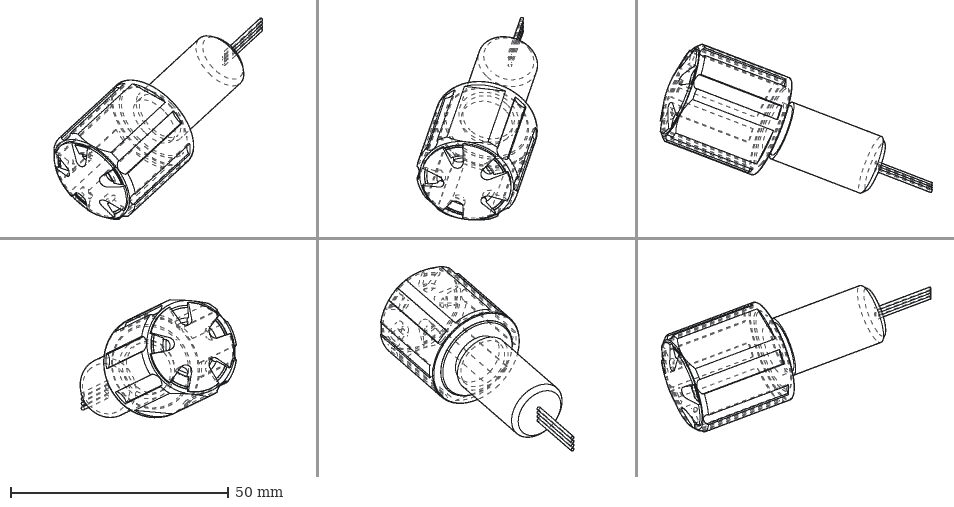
import cadquery as cq
import math

total_length = 65.1
cap_edge = 1.5
knob_front = 2.0
collar_front = 23.4
collar_back = 24.95
lip_back = 25.3
body_front = 27.55
body_back = 51.05

knob_diameter = 24.0
knob_radius = knob_diameter / 2
knob_face_radius = 11.0
cap_rim_radius = 10.5
cap_face_radius = 5.0
lip_radius = 9.9
neck_radius = 6.05
body_diameter = 14.0
body_radius = body_diameter / 2

knob_chamfer = knob_radius - knob_face_radius
collar_chamfer = 0.2
lip_chamfer = 0.3
body_chamfer = 1.1

flat_height = knob_face_radius
groove_angles = (0, 45, 135, 180, 225, 315)
groove_floor_offset = 11.05
groove_shoulder_offset = 11.5
groove_shoulder_half_width = 1.7
groove_top_offset = 12.4
groove_top_half_width = 1.9

window_count = 5
window_half_angle = 13.5
window_end_center = 6.5
window_reach = 13.0

gap_outer_radius = 9.9
gap_inner_radius = 9.4
gap_depth = 0.2
channel_outer_radius = 6.95
channel_inner_radius = 6.05
recess_depth = 0.45

wire_count = 4
wire_diameter = 0.8
wire_pitch = 1.1
wire_row_x = 0.25
wire_row_z = -0.2
wire_embed = 1.3


def revolve_about_y(profile):
    """Turn a closed profile, drawn as (Y, Z) in the YZ plane, about the Y axis."""
    return profile.close().revolve(360, (0, 0, 0), (1, 0, 0))


def make_turned_part():
    profile = (
        cq.Workplane("YZ")
        .moveTo(0, 0)
        .lineTo(0, cap_face_radius)
        .lineTo(cap_edge, cap_rim_radius)
        .lineTo(knob_front, cap_rim_radius)
        .lineTo(knob_front, knob_face_radius)
        .lineTo(knob_front + knob_chamfer, knob_radius)
        .lineTo(collar_back - collar_chamfer, knob_radius)
        .lineTo(collar_back, knob_radius - collar_chamfer)
        .lineTo(collar_back, lip_radius)
        .lineTo(lip_back - lip_chamfer, lip_radius)
        .lineTo(lip_back, lip_radius - lip_chamfer)
        .lineTo(lip_back, neck_radius)
        .lineTo(body_front, neck_radius)
        .lineTo(body_front, body_radius)
        .lineTo(body_back - body_chamfer, body_radius)
        .lineTo(body_back, body_radius - body_chamfer)
        .lineTo(body_back, 0)
    )
    return revolve_about_y(profile)


def make_grip_flats():
    """Blocks above and below the knob that leave its two flats."""
    width = 2 * knob_radius
    upper = cq.Workplane("XY").box(width, collar_front, width, centered=(True, False, False))
    upper = upper.translate((0, 0, flat_height))
    return upper.union(upper.mirror("XY"))


def make_groove(angle):
    """A finger groove with flared walls and a round floor; angle 0 points along +X."""
    cutter = (
        cq.Workplane("XZ")
        .moveTo(groove_top_offset, groove_top_half_width)
        .lineTo(groove_shoulder_offset, groove_shoulder_half_width)
        .threePointArc((groove_floor_offset, 0), (groove_shoulder_offset, -groove_shoulder_half_width))
        .lineTo(groove_top_offset, -groove_top_half_width)
        .close()
        .extrude(-collar_front)
    )
    return cutter.rotate((0, 0, 0), (0, 1, 0), angle)


def make_window(angle, depth):
    """A wedge aimed at the axis, rounded at its inner end and open outward."""
    half = math.radians(window_half_angle)
    end_radius = window_end_center * math.sin(half)
    tangent = window_end_center * math.cos(half)
    tangent_x = tangent * math.cos(half)
    tangent_z = tangent * math.sin(half)
    outer_z = window_reach * math.tan(half)
    cutter = (
        cq.Workplane("XZ")
        .moveTo(window_reach, outer_z)
        .lineTo(tangent_x, tangent_z)
        .threePointArc((window_end_center - end_radius, 0), (tangent_x, -tangent_z))
        .lineTo(window_reach, -outer_z)
        .close()
        .extrude(-depth)
    )
    return cutter.rotate((0, 0, 0), (0, 1, 0), angle)


def make_floor_rings():
    """Narrow outer gap, round-bottomed channel and inner recess below the window floor."""
    gap = (
        cq.Workplane("YZ")
        .moveTo(0, gap_inner_radius)
        .lineTo(0, gap_outer_radius)
        .lineTo(knob_front + gap_depth, gap_outer_radius)
        .lineTo(knob_front + gap_depth, gap_inner_radius)
    )
    channel_depth = (channel_outer_radius - channel_inner_radius) / 2
    channel_middle = (channel_outer_radius + channel_inner_radius) / 2
    channel_start = knob_front + recess_depth
    channel = (
        cq.Workplane("YZ")
        .moveTo(0, 0)
        .lineTo(0, channel_outer_radius)
        .lineTo(channel_start, channel_outer_radius)
        .threePointArc((channel_start + channel_depth, channel_middle), (channel_start, channel_inner_radius))
        .lineTo(channel_start, 0)
    )
    return revolve_about_y(gap).union(revolve_about_y(channel))


def make_wire(index):
    z = wire_row_z + (index - (wire_count - 1) / 2) * wire_pitch
    start = body_back - wire_embed
    section = cq.Workplane("XZ", origin=(wire_row_x, start, z)).circle(wire_diameter / 2)
    return section.extrude(start - total_length)


result = make_turned_part().cut(make_grip_flats())

for groove_angle in groove_angles:
    result = result.cut(make_groove(groove_angle))

floor_rings = make_floor_rings()
for window_index in range(window_count):
    window_angle = 180 + window_index * 360 / window_count
    result = result.cut(make_window(window_angle, knob_front))
    result = result.cut(make_window(window_angle, collar_front).intersect(floor_rings))

for wire_index in range(wire_count):
    result = result.union(make_wire(wire_index))